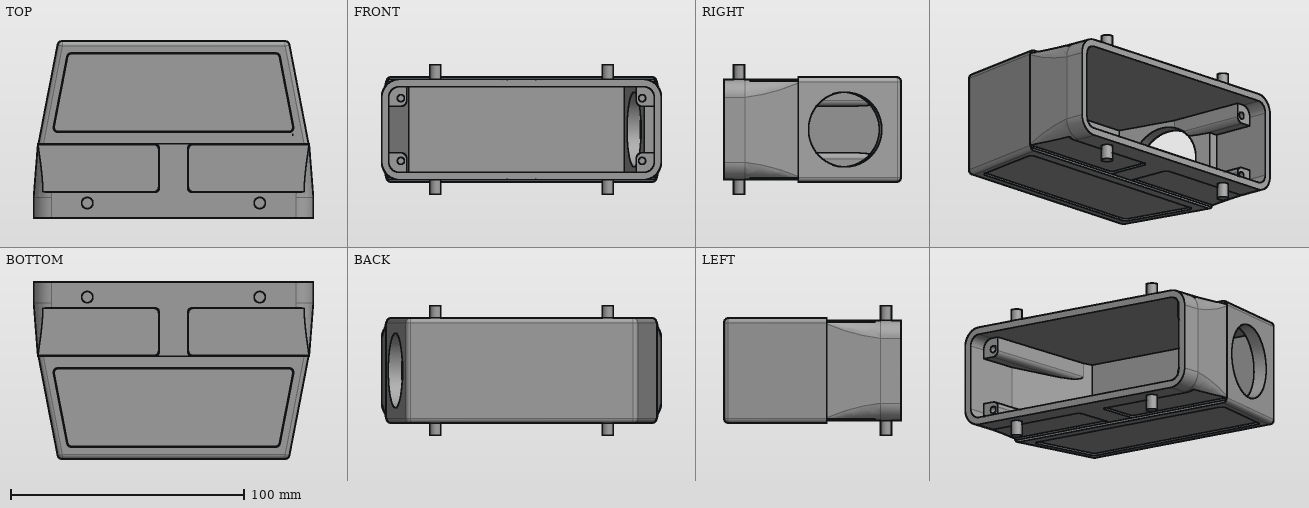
import cadquery as cq


rim_depth = 9.0
step_depth = 31.8
length = 76.0

mouth_half_width = 60.0
collar_top_half_width = 58.2
collar_half_height = 21.5
rim_radius = 7.5
collar_mid_depth = 20.4
collar_mid_radius = 5.4
collar_top_radius = 1.5

body_front_half_width = 58.0
body_back_half_width = 49.5
body_half_height = 22.5
body_edge_radius = 2.0
body_length = length - step_depth
side_slope = (body_front_half_width - body_back_half_width) / body_length

wall = 3.1
cavity_half_width = mouth_half_width - wall
cavity_half_height = collar_half_height - wall
cavity_depth = 73.0
cavity_ledge_depth = 28.2
cavity_left_back = -48.2
cable_wall_front = 52.5
cable_wall_back = 44.0

cable_hole_diameter = 32.0
cable_hole_depth = 50.9
cable_hole_reach = 12.0

post_x = 51.7
post_z = 13.5
post_inner_x = 49.2
post_inner_z = 10.0
post_radius = post_x - post_inner_x
post_hole_diameter = 3.0
post_hole_length = 14.4

pin_diameter = 4.8
pin_x = 37.0
pin_y = 6.5
pin_span = 55.5

recess_depth = 0.8
recess_draft = 20.0
recess_corner_radius = 2.0
collar_recess_front = 11.0
collar_recess_inner_x = 6.1
recess_overrun = 6.0
panel_front = 36.8
panel_back = 70.8
panel_side_margin = 5.0


def across(y):
    """Workplane parallel to the mouth at depth y, its normal toward the back."""
    return cq.Workplane(cq.Plane(origin=(0, y, 0), xDir=(-1, 0, 0), normal=(0, 1, 0)))


def collar_outline(half_width, radius):
    return cq.Sketch().rect(2 * half_width, 2 * collar_half_height).vertices().fillet(radius)


def body_half_width(y):
    return body_front_half_width - side_slope * (y - step_depth)


def mirrored_pair(shape, plane):
    return shape.union(shape.mirror(plane))


def make_collar():
    rim = across(0).placeSketch(collar_outline(mouth_half_width, rim_radius)).extrude(rim_depth)
    side_taper = (mouth_half_width - collar_top_half_width) / (step_depth - rim_depth)

    def section(y, radius):
        half_width = mouth_half_width - side_taper * (y - rim_depth)
        return collar_outline(half_width, radius).moved(cq.Location(cq.Vector(0, 0, y)))

    tapered = across(0).placeSketch(
        section(rim_depth, rim_radius),
        section(collar_mid_depth, collar_mid_radius),
        section(step_depth, collar_top_radius),
    ).loft()
    return rim.union(tapered)


def make_body():
    body = (
        cq.Workplane("XY", origin=(0, 0, -body_half_height))
        .polyline([
            (-body_front_half_width, step_depth),
            (body_front_half_width, step_depth),
            (body_back_half_width, length),
            (-body_back_half_width, length),
        ])
        .close()
        .extrude(2 * body_half_height)
    )
    return body.edges("not(<Y)").fillet(body_edge_radius)


def make_posts():
    post = (
        cq.Workplane("XZ", origin=(0, rim_depth, 0))
        .moveTo(post_inner_x, cavity_half_height)
        .lineTo(post_inner_x, post_inner_z + post_radius)
        .radiusArc((post_x, post_inner_z), -post_radius)
        .lineTo(cavity_half_width, post_inner_z)
        .lineTo(cavity_half_width, cavity_half_height)
        .close()
        .extrude(rim_depth - cavity_depth)
    )
    return mirrored_pair(mirrored_pair(post, "XY"), "YZ")


def make_cavity():
    plan = (
        cq.Workplane("XY", origin=(0, 0, -cavity_half_height))
        .polyline([
            (-cavity_half_width, 0),
            (cavity_half_width, 0),
            (cavity_half_width, cavity_ledge_depth),
            (cable_wall_front, cavity_ledge_depth),
            (cable_wall_back, cavity_depth),
            (cavity_left_back, cavity_depth),
            (-cavity_half_width, cavity_ledge_depth),
        ])
        .close()
        .extrude(2 * cavity_half_height)
    )
    rounded = (
        across(0)
        .rect(2 * cavity_half_width, 2 * cavity_half_height)
        .extrude(cavity_depth)
        .edges("|Y")
        .fillet(rim_radius - wall)
    )
    return plan.intersect(rounded).cut(make_posts())


def make_cable_hole():
    """Bore square to the sloping cable wall."""
    inner_slope = (cable_wall_front - cable_wall_back) / (cavity_depth - cavity_ledge_depth)
    centre_x = cable_wall_front - inner_slope * (cable_hole_depth - cavity_ledge_depth)
    wall_plane = cq.Plane(origin=(centre_x, cable_hole_depth, 0), xDir=(0, 0, 1), normal=(1, inner_slope, 0))
    return (
        cq.Workplane(wall_plane)
        .circle(cable_hole_diameter / 2)
        .extrude(cable_hole_reach, both=True)
    )


def make_post_holes():
    return (
        across(rim_depth)
        .rect(2 * post_x, 2 * post_z, forConstruction=True)
        .vertices()
        .circle(post_hole_diameter / 2)
        .extrude(post_hole_length)
    )


def make_pins():
    """Locking pins rooted halfway into the collar wall."""
    root = collar_half_height - wall / 2
    pins = (
        cq.Workplane("XY", origin=(0, 0, root))
        .pushPoints([(-pin_x, pin_y), (pin_x, pin_y)])
        .circle(pin_diameter / 2)
        .extrude(pin_span / 2 - root)
    )
    return mirrored_pair(pins, "XY")


def sunk(outline, surface_z):
    """Drafted recess of the given outline, sunk into both broad faces at +/- surface_z."""
    recess = (
        cq.Workplane("XY", origin=(0, 0, surface_z))
        .placeSketch(outline.vertices().fillet(recess_corner_radius))
        .extrude(-recess_depth, taper=recess_draft)
    )
    return mirrored_pair(recess, "XY")


def make_collar_recesses():
    """Two recesses in each collar face, running out through the collar sides."""
    outer_x = mouth_half_width + recess_overrun
    outline = cq.Sketch().polygon([
        (collar_recess_inner_x, collar_recess_front),
        (outer_x, collar_recess_front),
        (outer_x, step_depth),
        (collar_recess_inner_x, step_depth),
        (collar_recess_inner_x, collar_recess_front),
    ])
    return mirrored_pair(sunk(outline, collar_half_height), "YZ")


def make_panel_recesses():
    front_x = body_half_width(panel_front) - panel_side_margin
    back_x = body_half_width(panel_back) - panel_side_margin
    outline = cq.Sketch().polygon([
        (-front_x, panel_front),
        (front_x, panel_front),
        (back_x, panel_back),
        (-back_x, panel_back),
        (-front_x, panel_front),
    ])
    return sunk(outline, body_half_height)


result = (
    make_collar()
    .cut(make_collar_recesses())
    .union(make_body().cut(make_panel_recesses()))
    .cut(make_cavity())
    .cut(make_cable_hole())
    .cut(make_post_holes())
    .union(make_pins())
)